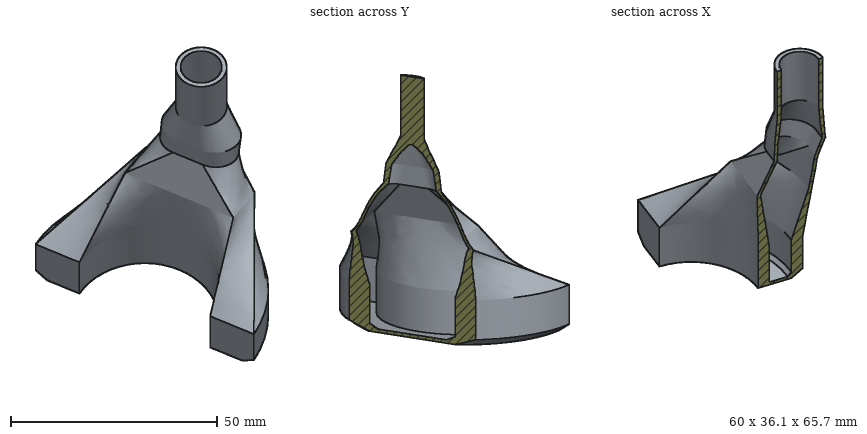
import cadquery as cq
import math

HEIGHT = 65.7
NECK_WALL = 1.0
RING_WALL = 3.15
FLOOR = 1.0

RING_OUTER_RADIUS = 60.0 / 2
RING_INNER_RADIUS = 17.95
RING_HEIGHT = 12.0
CHAMFER_HEIGHT = 2.1
CHAMFER_WIDTH = 3.15
CAVITY_CHAMFER = 1.0

TUBE_RADIUS = 12.4 / 2
BORE_RADIUS = 10.0 / 2
TUBE_Y = 29.2
TUBE_BASE_Z = 50.6
TUBE_FRONT_HALF = 2.5
TUBE_BACK_HALF = 3.3

TILT = math.radians(10)

SHOULDER_FRONT_Y = 17.7
SHOULDER_FRONT_Z = 28.85
SHOULDER_HALF_WIDTH = 14.9
SHOULDER_SIDE_DEPTH = 11.2
SHOULDER_FULL_DEPTH = 15.05

LOWER_NECK_Y = 22.2
LOWER_NECK_Z = 38.1
LOWER_NECK_DEPTH = 12.15
LOWER_NECK_FRONT_HALF = 4.1

UPPER_NECK_Y = 22.35
UPPER_NECK_Z = 43.2
UPPER_NECK_BACK_Y = 36.1
UPPER_NECK_DEPTH = (UPPER_NECK_BACK_Y - UPPER_NECK_Y) / math.cos(TILT)
UPPER_NECK_FRONT_HALF = 3.0

NECK_HALF_WIDTH = 10.05
NECK_BACK_HALF = 3.9


def line(start, end):
    return cq.Edge.makeLine(cq.Vector(*start), cq.Vector(*end))


def arc(start, middle, end):
    return cq.Edge.makeThreePointArc(cq.Vector(*start), cq.Vector(*middle), cq.Vector(*end))


def mirrored(point):
    return (-point[0], point[1], point[2])


def ring_section(inner_radius, outer_radius, end_y, z):
    """Half ring with end faces on the plane Y = end_y."""
    inner_end = (math.sqrt(inner_radius**2 - end_y**2), end_y, z)
    outer_end = (math.sqrt(outer_radius**2 - end_y**2), end_y, z)
    return [
        arc(mirrored(inner_end), (0, inner_radius, z), inner_end),
        line(inner_end, outer_end),
        arc(outer_end, (0, outer_radius, z), mirrored(outer_end)),
        line(mirrored(outer_end), mirrored(inner_end)),
    ]


def tilted_point(x, depth, front_y, front_z):
    """Point at a given depth behind the front edge of a tilted section."""
    return (x, front_y + depth * math.cos(TILT), front_z - depth * math.sin(TILT))


def shoulder_section(inset):
    """Straight front and sides with a bowed back."""
    half_width = SHOULDER_HALF_WIDTH - inset

    def place(x, depth):
        return tilted_point(x, depth, SHOULDER_FRONT_Y, SHOULDER_FRONT_Z)

    front = place(half_width, inset)
    side_back = place(half_width, SHOULDER_SIDE_DEPTH - inset)
    middle_back = place(0, SHOULDER_FULL_DEPTH - inset)
    return [
        line(mirrored(front), front),
        line(front, side_back),
        arc(side_back, middle_back, mirrored(side_back)),
        line(mirrored(side_back), mirrored(front)),
    ]


def neck_section(front_y, front_z, depth, front_half, inset):
    """Flat front and back joined by arched sides."""

    def place(x, section_depth):
        return tilted_point(x, section_depth, front_y, front_z)

    front = place(front_half, inset)
    side = place(NECK_HALF_WIDTH - inset, depth / 2)
    back = place(NECK_BACK_HALF, depth - inset)
    return [
        line(mirrored(front), front),
        arc(front, side, back),
        line(back, mirrored(back)),
        arc(mirrored(back), mirrored(side), mirrored(front)),
    ]


def tube_section(radius):
    """Circle at the tube's foot split into four arcs that line up with the neck's four faces."""
    scale = radius / TUBE_RADIUS
    z = TUBE_BASE_Z
    front_half = TUBE_FRONT_HALF * scale
    back_half = TUBE_BACK_HALF * scale
    front = (front_half, TUBE_Y - math.sqrt(radius**2 - front_half**2), z)
    back = (back_half, TUBE_Y + math.sqrt(radius**2 - back_half**2), z)
    side = (radius, TUBE_Y, z)
    return [
        arc(mirrored(front), (0, TUBE_Y - radius, z), front),
        arc(front, side, back),
        arc(back, (0, TUBE_Y + radius, z), mirrored(back)),
        arc(mirrored(back), mirrored(side), mirrored(front)),
    ]


def skin(sections):
    """Solid with ruled faces between neighbouring sections and flat end caps."""
    faces = [cq.Face.makeFromWires(cq.Wire.assembleEdges(s)) for s in (sections[0], sections[-1])]
    for below, above in zip(sections, sections[1:]):
        for low_edge, high_edge in zip(below, above):
            faces.append(cq.Face.makeRuledSurface(low_edge, high_edge))
    solid = cq.Solid.makeSolid(cq.Shell.makeShell(faces))
    return cq.Workplane(obj=solid.fix())


def funnel_sections(inset):
    return [
        shoulder_section(inset),
        neck_section(LOWER_NECK_Y, LOWER_NECK_Z, LOWER_NECK_DEPTH, LOWER_NECK_FRONT_HALF, inset),
        neck_section(UPPER_NECK_Y, UPPER_NECK_Z, UPPER_NECK_DEPTH, UPPER_NECK_FRONT_HALF, inset),
    ]


def body_skin():
    return skin([
        ring_section(RING_INNER_RADIUS, RING_OUTER_RADIUS - CHAMFER_WIDTH, 0, 0),
        ring_section(RING_INNER_RADIUS, RING_OUTER_RADIUS, 0, CHAMFER_HEIGHT),
        ring_section(RING_INNER_RADIUS, RING_OUTER_RADIUS, 0, RING_HEIGHT),
        *funnel_sections(0),
        tube_section(TUBE_RADIUS),
    ])


def cavity_skin():
    inner_radius = RING_INNER_RADIUS + RING_WALL
    outer_radius = RING_OUTER_RADIUS - RING_WALL
    return skin([
        ring_section(inner_radius, outer_radius - CAVITY_CHAMFER, RING_WALL, FLOOR),
        ring_section(inner_radius, outer_radius, RING_WALL, CHAMFER_HEIGHT),
        ring_section(inner_radius, outer_radius, RING_WALL, RING_HEIGHT),
        *funnel_sections(NECK_WALL),
        tube_section(BORE_RADIUS),
    ])


def tube_cylinder(radius):
    return (
        cq.Workplane("XY", origin=(0, TUBE_Y, TUBE_BASE_Z))
        .circle(radius)
        .extrude(HEIGHT - TUBE_BASE_Z)
    )


outer = body_skin().union(tube_cylinder(TUBE_RADIUS))
hollow = cavity_skin().union(tube_cylinder(BORE_RADIUS))
result = outer.cut(hollow).solids()